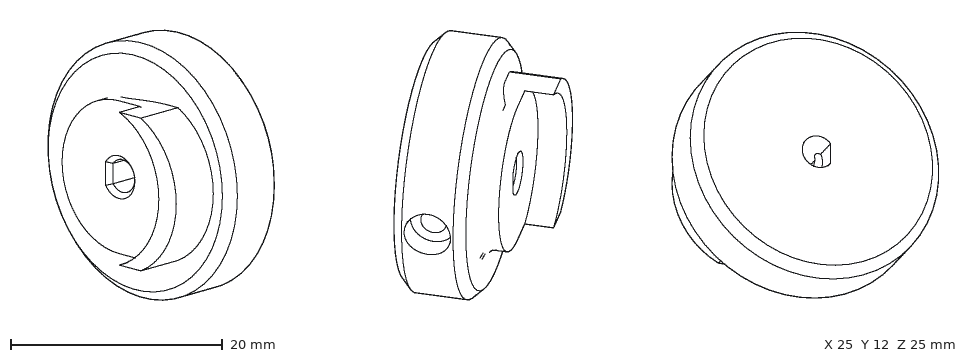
import cadquery as cq
import math

knob_radius = 12.5
knob_thickness = 7.0
knob_chamfer = 1.0

boss_radius = 7.5
boss_height = 2.2
boss_fillet = 1.0

total_depth = 12.0
lip_inner_radius = 8.0
lip_corner_x = 5.62
lip_tip_x = 10.3

bore_radius = 1.6
bore_flat_x = -1.25
bore_chamfer = 0.5

screw_radius = 1.25
screw_head_radius = 2.25
screw_head_depth = 2.5

boss_front = knob_thickness + boss_height


def make_knob():
    """Chamfered disc with a round boss blended into its front face."""
    blend_radius = boss_radius + boss_fillet
    blend_mid = boss_fillet * (1 - math.sqrt(0.5))
    return (
        cq.Workplane("XY")
        .moveTo(0, 0)
        .lineTo(knob_radius - knob_chamfer, 0)
        .lineTo(knob_radius, -knob_chamfer)
        .lineTo(knob_radius, knob_chamfer - knob_thickness)
        .lineTo(knob_radius - knob_chamfer, -knob_thickness)
        .lineTo(blend_radius, -knob_thickness)
        .threePointArc(
            (boss_radius + blend_mid, -knob_thickness - blend_mid),
            (boss_radius, -knob_thickness - boss_fillet),
        )
        .lineTo(boss_radius, -boss_front)
        .lineTo(0, -boss_front)
        .close()
        .revolve(360, (0, 0, 0), (0, 1, 0))
    )


def make_lip():
    """Flat-sided extension of the boss, hollowed to leave a raised crescent."""
    block = (
        cq.Workplane("XZ", origin=(0, -knob_thickness, 0))
        .moveTo(0, -boss_radius)
        .lineTo(lip_corner_x, -boss_radius)
        .threePointArc((lip_tip_x, 0), (lip_corner_x, boss_radius))
        .lineTo(0, boss_radius)
        .close()
        .extrude(total_depth - knob_thickness)
    )
    hollow = (
        cq.Workplane("XZ", origin=(0, -boss_front, 0))
        .circle(lip_inner_radius)
        .extrude(total_depth - boss_front)
    )
    return block.cut(hollow)


def d_section(front_distance, growth):
    """D-shaped outline in a plane facing -Y, enlarged all round by growth."""
    radius = bore_radius + growth
    flat_x = bore_flat_x - growth
    flat_half = math.sqrt(radius**2 - flat_x**2)
    return (
        cq.Workplane("XZ", origin=(0, -front_distance, 0))
        .moveTo(flat_x, -flat_half)
        .threePointArc((radius, 0), (flat_x, flat_half))
        .close()
    )


def make_bore():
    """D-shaped through bore with a chamfered front mouth."""
    bore = d_section(0, 0).extrude(boss_front)
    mouth = d_section(boss_front, bore_chamfer).extrude(-bore_chamfer, taper=45)
    return bore.union(mouth)


def make_screw_hole():
    """Counterbored radial hole from the -X side into the bore."""
    start = cq.Workplane("YZ", origin=(-knob_radius, -knob_thickness / 2, 0))
    shank = start.circle(screw_radius).extrude(knob_radius)
    head = start.circle(screw_head_radius).extrude(screw_head_depth)
    return shank.union(head)


result = make_knob().union(make_lip()).cut(make_bore()).cut(make_screw_hole())